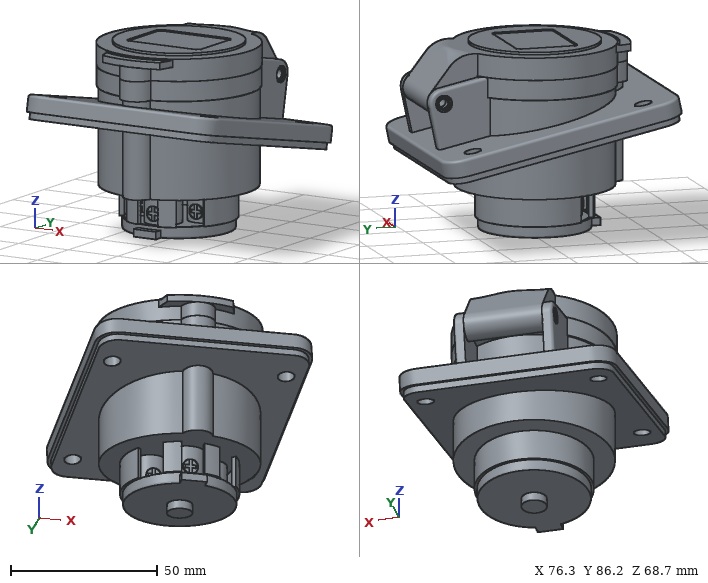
import cadquery as cq
import math

RING_BOTTOM = 34.7
LID_BOTTOM = 41.8
LID_TOP = 49.6
LABEL_DISC_TOP = 50.5

BARREL_RADIUS = 27.7
RIM_RADIUS = 28.3
BARREL_BOSS_DIAMETER = 11.0
BARREL_BOSS_Y = -25.8
LATCH_BOSS_RADIUS = 6.0
LATCH_BOSS_Y = -27.0

FLANGE_TILT = 12.0
FLANGE_Y = -0.3
FLANGE_Z = 19.8
FLANGE_WIDTH = 76.3
FLANGE_LENGTH = 87.0
FLANGE_THICKNESS = 6.0
FLANGE_CORNER_RADIUS = 7.6
FLANGE_EDGE_RADIUS = 1.0
STEP_INSET = 1.2
STEP_THICKNESS = 2.4
SCREW_HOLE_DIAMETER = 5.8
SCREW_HOLE_X = 30.6
FRONT_HOLE_Y = -29.3
REAR_HOLE_Y = 31.9

HINGE_Y = 38.0
HINGE_Z = 33.5
HINGE_RADIUS = 5.0
HINGE_BORE = 3.3
HINGE_INNER_RECESS = 4.5
HINGE_OUTER_RECESS = 5.8
HINGE_RECESS_DEPTH = 0.4
EAR_INNER_X = 13.9
EAR_OUTER_X = 17.5
EAR_EDGE_RADIUS = 1.0

LID_RADIUS = 28.4
LABEL_DISC_RADIUS = 22.8
LABEL_LENGTH = 29.8
LABEL_WIDTH = 22.0
LABEL_CORNER = 1.3
LABEL_DEPTH = 0.5
LUG_SLOPE_TOP_Y = 31.8
SHOULDER_MID_SETBACK = 1.0
SHOULDER_SIDE_SETBACK = 5.0
SHOULDER_SECTIONS = 4
LUG_ROOT_Y = 21.5
TAB_BOTTOM = 46.8
TAB_TOP = 49.2
TAB_LIP_TOP = 49.4
TAB_REACH = 33.0
TAB_ROOT_HALF_WIDTH = 13.3
TAB_ROOT_Y = -25.15
TAB_TIP_HALF_WIDTH = 11.5
TAB_LIP_RADIUS = 29.2

SHELL_RADIUS = 20.5
CAVITY_RADIUS = 37.5 / 2
SHELL_BOTTOM = -11.1
BASE_RADIUS = 39.2 / 2
BASE_BOTTOM = -15.1
BASE_EDGE_HEIGHT = 0.7
BASE_EDGE_WIDTH = 0.2
CAVITY_SINK = 0.3
STEM_DIAMETER = 8.8
STEM_BOTTOM = -18.2
CATCH_WIDTH = 9.0
CATCH_HEIGHT = 2.7
CATCH_REACH = 22.2
FRONT_WINDOW_WIDTH = 8.1
SIDE_WINDOW_WIDTH = 9.8
SIDE_WINDOW_ANGLE = 43.0
SIDE_POST_RADIUS = 6.0
SIDE_POST_X = 10.5
FRONT_POST_RADIUS = 13.2 / 2
FRONT_POST_Y = -10.1
TERMINAL_DIAMETER = 5.25
TERMINAL_Z = -7.5
TERMINAL_PROUD = 0.1
CROSS_LENGTH = 3.8
CROSS_TALL_LENGTH = 5.2
CROSS_WIDTH = 1.1
CROSS_DEPTH = 0.5


def cylinder(radius, bottom, top, x=0.0, y=0.0):
    """Upright cylinder between two heights."""
    return cq.Workplane("XY", origin=(x, y, bottom)).circle(radius).extrude(top - bottom)


def place_on_flange(shape):
    """Move a shape from the flat flange frame to the tilted flange."""
    return shape.rotate((0, 0, 0), (1, 0, 0), -FLANGE_TILT).translate((0, FLANGE_Y, FLANGE_Z))


def hinge_in_flange_frame():
    """Hinge axis as (y, z) in the flat flange frame."""
    tilt = math.radians(FLANGE_TILT)
    dy = HINGE_Y - FLANGE_Y
    dz = HINGE_Z - FLANGE_Z
    return dy * math.cos(tilt) - dz * math.sin(tilt), dy * math.sin(tilt) + dz * math.cos(tilt)


def rounded_plate(inset, bottom, thickness):
    return (
        cq.Workplane("XY", origin=(0, 0, bottom))
        .rect(FLANGE_WIDTH - 2 * inset, FLANGE_LENGTH - 2 * inset)
        .extrude(thickness)
        .edges("|Z")
        .fillet(FLANGE_CORNER_RADIUS - inset)
    )


def build_flange():
    plate = rounded_plate(0, 0, FLANGE_THICKNESS).faces(">Z").edges().fillet(FLANGE_EDGE_RADIUS)
    step = rounded_plate(STEP_INSET, -STEP_THICKNESS, STEP_THICKNESS)
    return place_on_flange(plate.union(step))


def build_ear(side):
    """Hinge ear square to the flange; side is +1 or -1."""
    hinge_y, hinge_z = hinge_in_flange_frame()
    back = hinge_y + HINGE_RADIUS
    top = hinge_z + HINGE_RADIUS
    foot = FLANGE_THICKNESS - FLANGE_EDGE_RADIUS
    ear = (
        cq.Workplane("YZ", origin=(EAR_INNER_X, 0, 0))
        .moveTo(0, foot)
        .lineTo(back, foot)
        .lineTo(back, hinge_z)
        .radiusArc((hinge_y, top), -HINGE_RADIUS)
        .lineTo(0, top)
        .close()
        .extrude(EAR_OUTER_X - EAR_INNER_X)
    )
    ear = ear.faces(">X").edges("(not <Y) and (not <Z)").fillet(EAR_EDGE_RADIUS)
    ear = place_on_flange(ear)
    if side < 0:
        ear = ear.mirror("YZ")
    return ear


def hinge_cylinder(diameter, half_length):
    return (
        cq.Workplane("YZ", origin=(-half_length, HINGE_Y, HINGE_Z))
        .circle(diameter / 2)
        .extrude(2 * half_length)
    )


def hinge_recess(diameter, depth, side):
    """Recess sunk into the outer face of one ear."""
    return (
        cq.Workplane("YZ", origin=(side * EAR_OUTER_X, HINGE_Y, HINGE_Z))
        .circle(diameter / 2)
        .extrude(-side * depth)
    )


def cut_screw_holes(housing):
    """Front holes run parallel to the socket axis, rear holes square to the flange."""
    tilt = math.radians(FLANGE_TILT)
    rear_z = FLANGE_Z - (REAR_HOLE_Y - FLANGE_Y) * math.tan(tilt) + FLANGE_THICKNESS / math.cos(tilt)
    normal = cq.Vector(0, math.sin(tilt), math.cos(tilt))
    depth = 2 * FLANGE_THICKNESS
    for x in (-SCREW_HOLE_X, SCREW_HOLE_X):
        housing = housing.cut(cylinder(SCREW_HOLE_DIAMETER / 2, 0, LID_BOTTOM, x, FRONT_HOLE_Y))
        start = cq.Vector(x, REAR_HOLE_Y, rear_z) + normal * depth
        hole = cq.Solid.makeCylinder(SCREW_HOLE_DIAMETER / 2, 2 * depth, start, normal * -1)
        housing = housing.cut(cq.Workplane(hole))
    return housing


def build_housing():
    barrel = cylinder(BARREL_RADIUS, 0, RING_BOTTOM)
    housing = barrel.union(cylinder(RIM_RADIUS, RING_BOTTOM, LID_BOTTOM))
    housing = housing.union(cylinder(BARREL_BOSS_DIAMETER / 2, 0, RING_BOTTOM, y=BARREL_BOSS_Y))
    housing = housing.union(cylinder(LATCH_BOSS_RADIUS, RING_BOTTOM, LID_BOTTOM, y=LATCH_BOSS_Y))
    housing = housing.union(build_flange())
    for side in (-1, 1):
        housing = housing.union(build_ear(side))
    space_for_lid = cylinder(FLANGE_LENGTH, LID_BOTTOM, LABEL_DISC_TOP)
    housing = housing.cut(space_for_lid)
    housing = housing.cut(hinge_cylinder(HINGE_BORE, EAR_OUTER_X))
    for side in (-1, 1):
        housing = housing.cut(hinge_recess(HINGE_OUTER_RECESS, HINGE_RECESS_DEPTH, side))
        housing = housing.cut(hinge_recess(HINGE_INNER_RECESS, 2 * HINGE_RECESS_DEPTH, side))
    return cut_screw_holes(housing)


def tangent_point(from_y, from_z):
    """Outer point where a line from (from_y, from_z) touches the hinge barrel."""
    dy = from_y - HINGE_Y
    dz = from_z - HINGE_Z
    angle = math.atan2(dz, dy) - math.acos(HINGE_RADIUS / math.hypot(dy, dz))
    return HINGE_Y + HINGE_RADIUS * math.cos(angle), HINGE_Z + HINGE_RADIUS * math.sin(angle)


def lug_shoulder_cutter():
    """Waste above the lug shoulder, whose rounding is tight in the middle and wide at the sides."""
    end_y, end_z = tangent_point(LUG_SLOPE_TOP_Y, LID_TOP)
    slope = math.atan2(LID_TOP - end_z, end_y - LUG_SLOPE_TOP_Y)
    sections = []
    for step in range(-SHOULDER_SECTIONS, SHOULDER_SECTIONS + 1):
        share = step / SHOULDER_SECTIONS
        widening = (1 - math.cos(math.pi * share)) / 2
        setback = SHOULDER_MID_SETBACK + (SHOULDER_SIDE_SETBACK - SHOULDER_MID_SETBACK) * widening
        radius = setback / math.tan(slope / 2)
        slope_point = (LUG_SLOPE_TOP_Y + setback * math.cos(slope), LID_TOP - setback * math.sin(slope))
        outer_point = (
            LUG_SLOPE_TOP_Y + setback * math.sin(slope / 2),
            LID_TOP + setback * math.cos(slope / 2),
        )
        section = (
            cq.Workplane("YZ", origin=(share * EAR_INNER_X, 0, 0))
            .moveTo(LUG_SLOPE_TOP_Y - setback, LID_TOP)
            .radiusArc(slope_point, radius)
            .lineTo(*outer_point)
            .close()
        )
        sections.append(section.val())
    return cq.Workplane(cq.Solid.makeLoft(sections))


def build_lug():
    """Lid arm that reaches back between the ears to the hinge."""
    arm = (
        cq.Workplane("YZ", origin=(-EAR_INNER_X, 0, 0))
        .polyline([
            (LUG_ROOT_Y, HINGE_Z),
            (LUG_ROOT_Y, LID_TOP),
            (LUG_SLOPE_TOP_Y, LID_TOP),
            tangent_point(LUG_SLOPE_TOP_Y, LID_TOP),
            (HINGE_Y, HINGE_Z),
        ])
        .close()
        .extrude(2 * EAR_INNER_X)
    )
    arm = arm.union(hinge_cylinder(2 * HINGE_RADIUS, EAR_INNER_X))
    arm = arm.cut(cylinder(RIM_RADIUS, 0, LID_BOTTOM))
    return arm.cut(lug_shoulder_cutter())


def build_tab():
    """Finger tab at the front of the lid with a low lip along the lid edge."""
    tip_y = -math.sqrt(TAB_REACH ** 2 - TAB_TIP_HALF_WIDTH ** 2)
    tab = (
        cq.Workplane("XY", origin=(0, 0, TAB_BOTTOM))
        .moveTo(-TAB_ROOT_HALF_WIDTH, TAB_ROOT_Y)
        .lineTo(-TAB_TIP_HALF_WIDTH, tip_y)
        .threePointArc((0, -TAB_REACH), (TAB_TIP_HALF_WIDTH, tip_y))
        .lineTo(TAB_ROOT_HALF_WIDTH, TAB_ROOT_Y)
        .close()
        .extrude(TAB_LIP_TOP - TAB_BOTTOM)
    )
    lip = cylinder(TAB_LIP_RADIUS, TAB_TOP, TAB_LIP_TOP)
    lowered_area = cylinder(FLANGE_LENGTH, TAB_TOP, TAB_LIP_TOP).cut(lip)
    return tab.cut(lowered_area)


def build_lid():
    lid = cylinder(LID_RADIUS, LID_BOTTOM, LID_TOP)
    lid = lid.union(cylinder(LABEL_DISC_RADIUS, LID_TOP, LABEL_DISC_TOP))
    lid = lid.union(cylinder(LATCH_BOSS_RADIUS, LID_BOTTOM, TAB_BOTTOM, y=LATCH_BOSS_Y))
    lid = lid.union(build_tab()).union(build_lug())
    label = (
        cq.Workplane("XY", origin=(0, 0, LABEL_DISC_TOP - LABEL_DEPTH))
        .rect(LABEL_LENGTH, LABEL_WIDTH)
        .extrude(LABEL_DEPTH)
        .edges("|Z")
        .chamfer(LABEL_CORNER)
    )
    return lid.cut(label).cut(hinge_cylinder(HINGE_BORE, EAR_INNER_X))


def window(width, angle):
    """Radial opening that starts inside the cavity; angle is turned from -Y around Z."""
    inner_y = -SHELL_RADIUS / 2
    return (
        cq.Workplane("XY")
        .box(width, SHELL_RADIUS, -SHELL_BOTTOM, centered=(True, False, False))
        .translate((0, inner_y - SHELL_RADIUS, SHELL_BOTTOM))
        .rotate((0, 0, 0), (0, 0, 1), angle)
    )


def build_terminal(x, post_y, post_radius):
    """Screw head with a cross slot, facing -Y on a terminal post."""
    face_y = post_y - post_radius - TERMINAL_PROUD
    plane = cq.Workplane("XZ", origin=(x, face_y, TERMINAL_Z))
    head = plane.circle(TERMINAL_DIAMETER / 2).extrude(-post_radius)
    for width, height in ((CROSS_LENGTH, CROSS_WIDTH), (CROSS_WIDTH, CROSS_TALL_LENGTH)):
        head = head.cut(plane.rect(width, height).extrude(-CROSS_DEPTH))
    return head


def build_insert():
    shell = cylinder(SHELL_RADIUS, SHELL_BOTTOM, 0)
    base = cylinder(BASE_RADIUS, BASE_BOTTOM, SHELL_BOTTOM)
    base = base.faces("<Z").edges().chamfer(BASE_EDGE_HEIGHT, BASE_EDGE_WIDTH)
    insert = shell.union(base).cut(cylinder(CAVITY_RADIUS, SHELL_BOTTOM - CAVITY_SINK, 0))
    insert = insert.cut(window(FRONT_WINDOW_WIDTH, 0))
    for angle in (-SIDE_WINDOW_ANGLE, SIDE_WINDOW_ANGLE):
        insert = insert.cut(window(SIDE_WINDOW_WIDTH, angle))
    for x, y, radius in (
        (0, FRONT_POST_Y, FRONT_POST_RADIUS),
        (-SIDE_POST_X, 0, SIDE_POST_RADIUS),
        (SIDE_POST_X, 0, SIDE_POST_RADIUS),
    ):
        insert = insert.union(cylinder(radius, SHELL_BOTTOM - CAVITY_SINK, 0, x, y))
        insert = insert.union(build_terminal(x, y, radius))
    insert = insert.union(cylinder(STEM_DIAMETER / 2, STEM_BOTTOM, BASE_BOTTOM))
    catch = (
        cq.Workplane("XY", origin=(0, -CATCH_REACH, BASE_BOTTOM))
        .box(CATCH_WIDTH, CATCH_REACH / 2, CATCH_HEIGHT, centered=(True, False, False))
    )
    return insert.union(catch)


housing = build_housing()
lid = build_lid()
insert = build_insert()
result = cq.Compound.makeCompound([housing.val(), lid.val(), insert.val()])